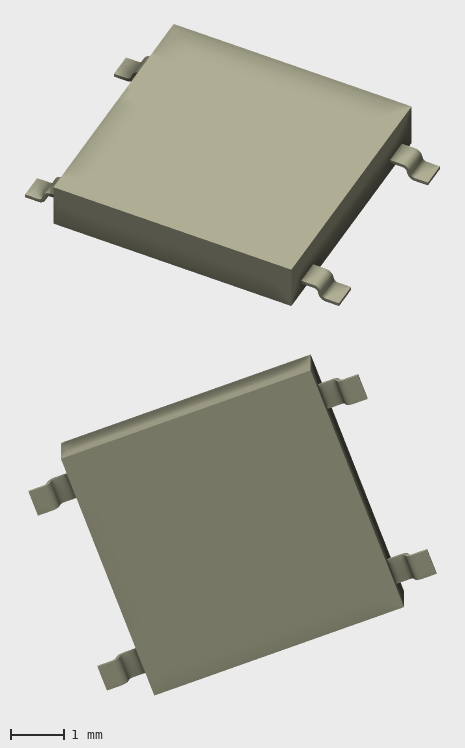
import cadquery as cq
import math

span = 6.6
body_side = 5.0
body_height = 0.94

lead_thickness = 0.07
lead_width = 0.5
lead_top = 0.32
lead_offset_y = 1.85
foot_length = 0.28
inner_radius = 0.085
bend_angle = math.radians(75)
outer_radius = inner_radius + lead_thickness

marker_diameter = 0.25
marker_depth = 0.03
marker_x = -1.85
marker_y = 1.85


def make_marker():
    return (
        cq.Workplane("XY", origin=(marker_x, marker_y, body_height - marker_depth))
        .circle(marker_diameter / 2)
        .extrude(marker_depth)
    )


def make_housing():
    block = cq.Workplane("XY").box(body_side, body_side, body_height, centered=(True, True, False))
    return block.cut(make_marker())


def arc_point(center, radius, angle):
    """Point at the given angle, measured from +X, on a circle in the XZ plane."""
    return (center[0] + radius * math.cos(angle), center[1] + radius * math.sin(angle))


def make_lead(y_center):
    """Lead on the +X side: shoulder, two opposite bends joined by a slanted web, and foot."""
    wall_x = body_side / 2
    tip_x = span / 2
    shoulder_bottom = lead_top - lead_thickness

    bend_radii = inner_radius + outer_radius
    bend_rise = bend_radii * (1 - math.cos(bend_angle))
    web_length = (shoulder_bottom - bend_rise) / math.sin(bend_angle)
    bend_run = bend_radii * math.sin(bend_angle) + web_length * math.cos(bend_angle)

    foot_center = (tip_x - foot_length, lead_thickness + inner_radius)
    shoulder_center = (foot_center[0] - bend_run, shoulder_bottom - inner_radius)

    up = math.pi / 2
    down = -math.pi / 2
    shoulder_mid, shoulder_end = up - bend_angle / 2, up - bend_angle
    foot_mid, foot_end = down - bend_angle / 2, down - bend_angle

    profile = (
        cq.Workplane("XZ", origin=(0, y_center, 0))
        .moveTo(wall_x, lead_top)
        .lineTo(shoulder_center[0], lead_top)
        .threePointArc(
            arc_point(shoulder_center, outer_radius, shoulder_mid),
            arc_point(shoulder_center, outer_radius, shoulder_end),
        )
        .lineTo(*arc_point(foot_center, inner_radius, foot_end))
        .threePointArc(
            arc_point(foot_center, inner_radius, foot_mid),
            arc_point(foot_center, inner_radius, down),
        )
        .lineTo(tip_x, lead_thickness)
        .lineTo(tip_x, 0)
        .lineTo(foot_center[0], 0)
        .threePointArc(
            arc_point(foot_center, outer_radius, foot_mid),
            arc_point(foot_center, outer_radius, foot_end),
        )
        .lineTo(*arc_point(shoulder_center, inner_radius, shoulder_end))
        .threePointArc(
            arc_point(shoulder_center, inner_radius, shoulder_mid),
            arc_point(shoulder_center, inner_radius, up),
        )
        .lineTo(wall_x, shoulder_bottom)
        .close()
    )
    return profile.extrude(lead_width / 2, both=True)


housing = make_housing()
marker = make_marker()

leads = []
for y_center in (-lead_offset_y, lead_offset_y):
    right_lead = make_lead(y_center)
    left_lead = right_lead.mirror("YZ")
    leads += [right_lead.val(), left_lead.val()]

result = cq.Compound.makeCompound([housing.val(), marker.val(), *leads])